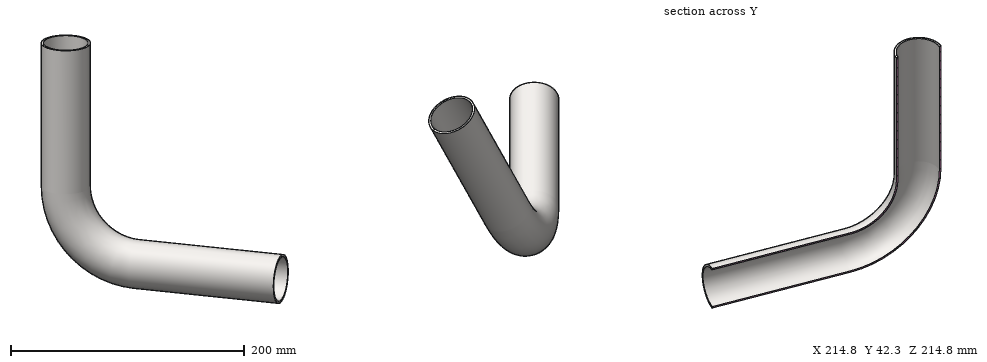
import cadquery as cq

overall_length = 214.8
outer_diameter = 42.3
inner_diameter = 38.5
straight_length = 130.0

bend_radius = overall_length - straight_length - outer_diameter / 2

leg_end = bend_radius + straight_length
centreline = (
    cq.Workplane("XZ")
    .moveTo(0, leg_end)
    .lineTo(0, bend_radius)
    .radiusArc((bend_radius, 0), -bend_radius)
    .lineTo(leg_end, 0)
)

result = (
    cq.Workplane("XY")
    .workplane(offset=leg_end)
    .circle(outer_diameter / 2)
    .circle(inner_diameter / 2)
    .sweep(centreline)
)